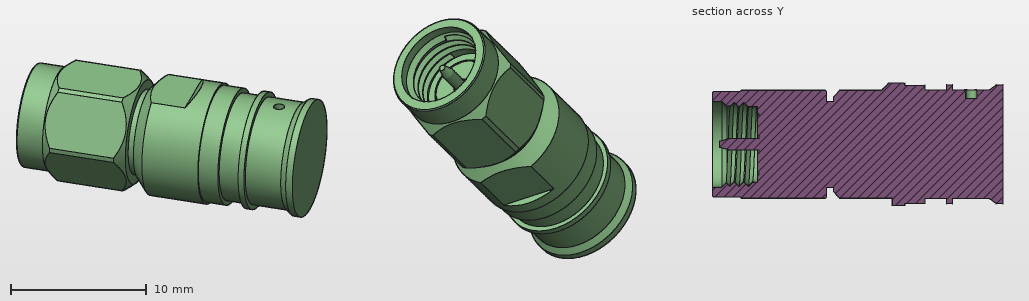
import cadquery as cq
import math

total_length = 21.4
nut_start = 2.03
nut_end = 8.4
body_start = 8.9
body_cone_end = 9.87
body_end = 14.17
collar_end = 15.66
ring_start = 17.23
ring_end = 17.68
flare_start = 20.4
flare_end = 20.89

sleeve_radius = 3.9
nut_radius = 4.5
neck_radius = 3.19
body_nose_radius = 3.49
body_radius = 4.52
collar_radius = 4.37
ring_radius = 4.39
tube_radius = 4.02
sleeve_chamfer = 0.09

across_flats = 7.96
half_flats = across_flats / 2
nut_chamfer_length = 0.73
top_flat_end = 12.45
bottom_flat_end = 13.23

mouth_radius = 3.15
mouth_depth = 0.7
thread_minor_radius = 2.78
bore_start = 1.07
thread_pitch = 0.68
thread_start = 0.95
thread_crest = 0.09
thread_height = 0.3
thread_length = 2.03
thread_overlap = 0.02
socket_depth = 3.32

pin_tip_radius = 0.24
pin_radius = 0.45
pin_tip_x = 0.51
pin_taper_end = 1.33
pin_recess_radius = 0.65
gap_inner_radius = 2.15
gap_outer_radius = 2.25
recess_depth = 0.1

hole_x = 19.05
hole_diameter = 0.8
hole_depth = 0.65


def revolve_profile(points):
    """Revolve (x, radius) points, closed along the X axis."""
    return cq.Workplane("XY").polyline(points).close().revolve(360, (0, 0, 0), (1, 0, 0))


def cylinder(start, end, radius):
    return cq.Workplane("YZ", origin=(start, 0, 0)).circle(radius).extrude(end - start)


def make_nut():
    sleeve = cylinder(0, nut_start, sleeve_radius).faces("<X").chamfer(sleeve_chamfer)
    hexagon = (
        cq.Workplane("YZ", origin=(nut_start, 0, 0))
        .polygon(6, across_flats / math.cos(math.pi / 6))
        .extrude(nut_end - nut_start)
    )
    envelope = revolve_profile([
        (nut_start, 0),
        (nut_start, sleeve_radius),
        (nut_start + nut_chamfer_length, nut_radius),
        (nut_end - nut_chamfer_length, nut_radius),
        (nut_end, sleeve_radius),
        (nut_end, 0),
    ])
    return sleeve.union(hexagon.intersect(envelope))


def make_body():
    body = revolve_profile([
        (nut_end, 0),
        (nut_end, neck_radius),
        (body_start, neck_radius),
        (body_start, body_nose_radius),
        (body_cone_end, body_radius),
        (body_end, body_radius),
        (body_end, collar_radius),
        (collar_end, collar_radius),
        (collar_end, tube_radius),
        (ring_start, tube_radius),
        (ring_start, ring_radius),
        (ring_end, ring_radius),
        (ring_end, tube_radius),
        (flare_start, tube_radius),
        (flare_end, ring_radius),
        (total_length, ring_radius),
        (total_length, 0),
    ])
    flat_depth = body_radius - half_flats
    top_cut = (
        cq.Workplane("XZ")
        .polyline([
            (body_start, half_flats),
            (top_flat_end, half_flats),
            (top_flat_end + flat_depth, body_radius),
            (body_start, body_radius),
        ])
        .close()
        .extrude(body_radius, both=True)
    )
    bottom_cut = (
        cq.Workplane("XZ")
        .moveTo(body_start, -body_radius)
        .lineTo(bottom_flat_end, -body_radius)
        .lineTo(bottom_flat_end, -half_flats)
        .lineTo(body_start, -half_flats)
        .close()
        .extrude(body_radius, both=True)
    )
    hole = (
        cq.Workplane("XY", origin=(hole_x, 0, tube_radius - hole_depth))
        .circle(hole_diameter / 2)
        .extrude(2 * hole_depth)
    )
    return body.cut(top_cut).cut(bottom_cut).cut(hole)


def make_socket():
    """Stepped bore with shallow recesses in its floor."""
    points = [
        (0, 0),
        (0, mouth_radius),
        (mouth_depth, mouth_radius),
        (bore_start, thread_minor_radius),
        (socket_depth, thread_minor_radius),
        (socket_depth, 0),
    ]
    floor_end = socket_depth + recess_depth
    gap = cylinder(socket_depth, floor_end, gap_outer_radius).cut(
        cylinder(socket_depth, floor_end, gap_inner_radius)
    )
    pin_recess = cylinder(socket_depth, floor_end, pin_recess_radius)
    return revolve_profile(points).union(gap).union(pin_recess)


def make_thread():
    """Helical V-shaped groove cut outwards from the socket wall."""
    path = cq.Wire.makeHelix(
        thread_pitch,
        thread_length,
        thread_minor_radius,
        cq.Vector(thread_start, 0, 0),
        cq.Vector(1, 0, 0),
    )
    start = path.startPoint()
    axis = cq.Vector(1, 0, 0)
    radial = start - cq.Vector(thread_start, 0, 0)
    plane = cq.Plane(origin=start, xDir=axis, normal=axis.cross(radial))
    half_width = (thread_pitch - thread_crest) / 2
    base_half_width = half_width * (1 + thread_overlap / thread_height)
    return (
        cq.Workplane(plane)
        .polyline([
            (-base_half_width, -thread_overlap),
            (base_half_width, -thread_overlap),
            (0, thread_height),
        ])
        .close()
        .sweep(cq.Workplane(path), isFrenet=True)
    )


def make_pin():
    pin_root = socket_depth + 2 * recess_depth
    return revolve_profile([
        (pin_tip_x, 0),
        (pin_tip_x, pin_tip_radius),
        (pin_taper_end, pin_radius),
        (pin_root, pin_radius),
        (pin_root, 0),
    ])


result = make_nut().union(make_body()).cut(make_socket()).cut(make_thread()).union(make_pin())